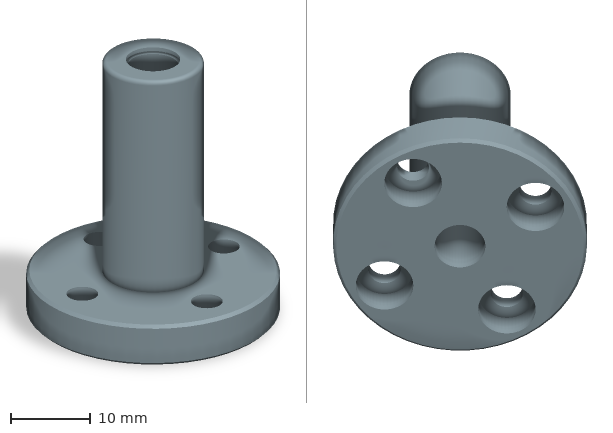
import cadquery as cq

flange_diameter = 31.75
flange_thickness = 5.5626
flange_chamfer = 0.397

overall_height = 34.925
sleeve_diameter = 12.7
sleeve_top_fillet = 0.556

bore_diameter = 6.35
mouth_diameter = 6.8
mouth_depth = 0.5
groove_diameter = 7.2
groove_floor_depth = 0.8

mounting_hole_diameter = 3.97
mounting_hole_count = 4
bolt_circle_radius = 11.1125
counterbore_diameter = 7.2
web_above_counterbore = 2.0


def make_flange():
    """Round disc resting on Z = 0, chamfered on both rims."""
    disc = cq.Workplane("XY").circle(flange_diameter / 2).extrude(flange_thickness)
    return disc.edges().chamfer(flange_chamfer)


def make_sleeve():
    """Cylinder from Z = 0 to full height, rounded at its top rim."""
    cylinder = cq.Workplane("XY").circle(sleeve_diameter / 2).extrude(overall_height)
    return cylinder.edges(">Z").fillet(sleeve_top_fillet)


def axial_cylinder(diameter, bottom, top):
    """Cylinder on the Z axis between two heights."""
    return cq.Workplane("XY").workplane(offset=bottom).circle(diameter / 2).extrude(top - bottom)


def make_bore():
    """Cutter for the through bore, the wider mouth and the groove under the mouth."""
    mouth_bottom = overall_height - mouth_depth
    groove_floor = overall_height - groove_floor_depth
    bore = axial_cylinder(bore_diameter, 0, overall_height)
    mouth = axial_cylinder(mouth_diameter, mouth_bottom, overall_height)
    groove = axial_cylinder(groove_diameter, groove_floor, mouth_bottom)
    return bore.union(groove).union(mouth)


def ring_of_cylinders(diameter, height):
    """Cylinders rising from Z = 0, equally spaced round the bolt circle from the X axis."""
    return (
        cq.Workplane("XY")
        .polarArray(bolt_circle_radius, 0, 360, mounting_hole_count)
        .circle(diameter / 2)
        .extrude(height)
    )


def make_mounting_holes():
    """Cutter for the mounting holes and their counterbores."""
    holes = ring_of_cylinders(mounting_hole_diameter, flange_thickness)
    counterbores = ring_of_cylinders(counterbore_diameter, flange_thickness - web_above_counterbore)
    return holes.union(counterbores)


body = make_flange().union(make_sleeve())
result = body.cut(make_bore()).cut(make_mounting_holes())